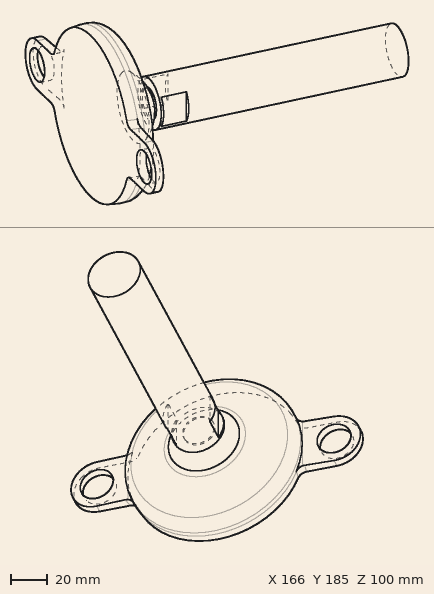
import cadquery as cq
import math


total_length = 185.0
overall_width = 166.0

disc_radius = 100.0 / 2
side_taper = 0.7
sole_radius = disc_radius - side_taper
taper_top = 6.1
rim_top = 9.2
shoulder_radius = 7.8
cone_angle = math.radians(20)
cone_top = 24.5

ball_radius = 25.0
ball_center = 11.1
ball_start = 25.5
neck_radius = 9.0
spindle_radius = 30.0 / 2
spindle_start = 35.5

flat_width = 24.0
flat_start = 37.0
flat_end = 52.2

lug_radius = 30.0 / 2
lug_center = overall_width / 2 - lug_radius
lug_hole_diameter = 19.0
lug_tip_height = 4.6
lug_fillet = 5.0


def ball_radius_at(height):
    return math.sqrt(ball_radius**2 - (height - ball_center) ** 2)


def shoulder_point(angle):
    """Point on the rounded shoulder, with the angle measured up from the radial direction."""
    center = disc_radius - shoulder_radius
    return (
        center + shoulder_radius * math.cos(angle),
        rim_top + shoulder_radius * math.sin(angle),
    )


def revolved_body():
    """Base disc, cone, ball and spindle turned around the Y axis."""
    shoulder_sweep = math.pi / 2 - cone_angle
    shoulder_end = shoulder_point(shoulder_sweep)
    cone_top_radius = shoulder_end[0] - (cone_top - shoulder_end[1]) / math.tan(cone_angle)
    neck_start = ball_center + math.sqrt(ball_radius**2 - neck_radius**2)
    ball_middle = (ball_start + neck_start) / 2
    return (
        cq.Workplane("XY")
        .moveTo(0, 0)
        .lineTo(sole_radius, 0)
        .lineTo(disc_radius, taper_top)
        .lineTo(disc_radius, rim_top)
        .threePointArc(shoulder_point(shoulder_sweep / 2), shoulder_end)
        .lineTo(cone_top_radius, cone_top)
        .lineTo(ball_radius_at(ball_start), ball_start)
        .threePointArc((ball_radius_at(ball_middle), ball_middle), (neck_radius, neck_start))
        .lineTo(neck_radius, spindle_start)
        .lineTo(spindle_radius, spindle_start)
        .lineTo(spindle_radius, total_length)
        .lineTo(0, total_length)
        .close()
        .revolve(360, (0, 0, 0), (0, 1, 0))
    )


def flange():
    """Lowest, tapered layer of the disc with its two lugs, which slope down towards their tips."""
    tapered_disc = cq.Workplane(
        cq.Solid.makeCone(sole_radius, disc_radius, taper_top, cq.Vector(0, 0, 0), cq.Vector(0, 1, 0))
    )
    bar = cq.Workplane("XZ").slot2D(overall_width, 2 * lug_radius).extrude(-taper_top)
    tip = overall_width / 2
    sloped_profile = (
        cq.Workplane("XY")
        .polyline([
            (-tip, 0),
            (tip, 0),
            (tip, lug_tip_height),
            (disc_radius, taper_top),
            (-disc_radius, taper_top),
            (-tip, lug_tip_height),
        ])
        .close()
        .extrude(2 * disc_radius, both=True)
    )
    return fillet_lug_roots(tapered_disc.union(bar)).intersect(sloped_profile)


def fillet_lug_roots(body):
    """Round the four upright corners where the lug sides meet the disc."""
    corner_x = math.sqrt(disc_radius**2 - lug_radius**2)
    tolerance = 1.8
    for side_x in (-1, 1):
        for side_z in (-1, 1):
            corner = (side_x * corner_x, taper_top / 2, side_z * lug_radius)
            low = tuple(value - tolerance for value in corner)
            high = tuple(value + tolerance for value in corner)
            body = body.edges(cq.selectors.BoxSelector(low, high)).fillet(lug_fillet)
    return body


def lug_holes():
    return (
        cq.Workplane("XZ")
        .pushPoints([(-lug_center, 0), (lug_center, 0)])
        .circle(lug_hole_diameter / 2)
        .extrude(-taper_top)
    )


def wrench_flats():
    """Material removed from the spindle on its -X and +X sides."""
    length = flat_end - flat_start
    window = cq.Workplane("XY").box(2 * spindle_radius, length, 2 * spindle_radius)
    core = cq.Workplane("XY").box(flat_width, length, 2 * spindle_radius)
    return window.cut(core).translate((0, (flat_start + flat_end) / 2, 0))


result = revolved_body().union(flange()).cut(lug_holes()).cut(wrench_flats())